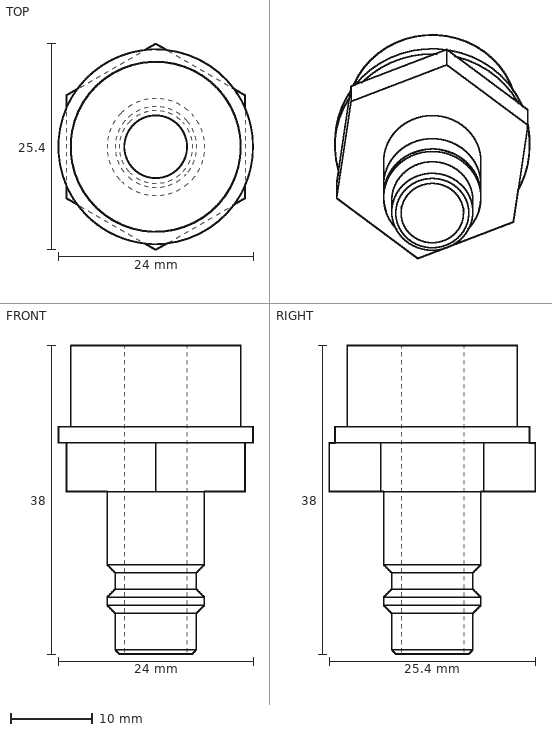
import cadquery as cq
import math

tip_chamfer = 0.5
nose_top = 5.0
collar_bottom = 6.0
collar_top = 7.0
groove_bottom = 8.0
groove_top = 10.0
stem_bottom = 11.0
hex_bottom = 20.0
hex_top = 26.0
flange_top = 28.0
total_height = 38.0

bore_diameter = 7.7
nose_diameter = 10.0
stem_diameter = 12.0
head_diameter = 21.0
flange_diameter = 24.0
hex_across_flats = 22.0
head_chamfer = 0.05

nose_radius = nose_diameter / 2
stem_radius = stem_diameter / 2
head_radius = head_diameter / 2
flange_radius = flange_diameter / 2


def turned_body():
    """Revolved solid: plug nose, locking collar, stem, flange and head."""
    half_profile = [
        (0, 0),
        (nose_radius - tip_chamfer, 0),
        (nose_radius, tip_chamfer),
        (nose_radius, nose_top),
        (stem_radius, collar_bottom),
        (stem_radius, collar_top),
        (nose_radius, groove_bottom),
        (nose_radius, groove_top),
        (stem_radius, stem_bottom),
        (stem_radius, hex_top),
        (flange_radius, hex_top),
        (flange_radius, flange_top),
        (head_radius, flange_top),
        (head_radius, total_height - head_chamfer),
        (head_radius - head_chamfer, total_height),
        (0, total_height),
    ]
    return cq.Workplane("XZ").polyline(half_profile).close().revolve(360, (0, 0, 0), (0, 1, 0))


def hexagon():
    """Wrench hexagon with flats facing +X and -X and corners on the Y axis."""
    across_corners = hex_across_flats / math.cos(math.radians(30))
    return (
        cq.Workplane("XY", origin=(0, 0, hex_bottom))
        .transformed(rotate=(0, 0, 90))
        .polygon(6, across_corners)
        .extrude(hex_top - hex_bottom)
    )


def bore():
    """Through bore along the Z axis."""
    return cq.Workplane("XY").circle(bore_diameter / 2).extrude(total_height)


result = turned_body().union(hexagon()).cut(bore())